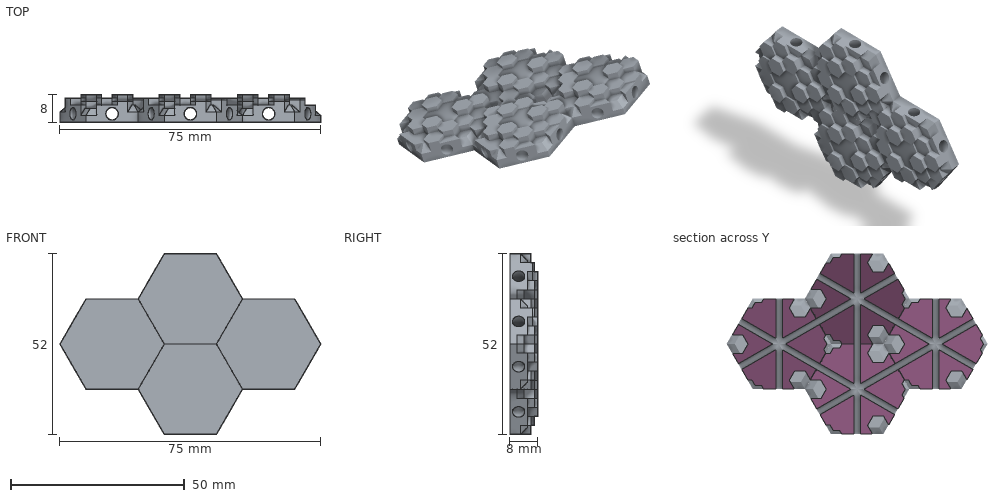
import cadquery as cq
import math


cell_side = 3.0
cells_per_edge = 5
tile_gap = 0.02
base_height = 5.0
hole_diameter = 3.5
bevel_rise = 2.0
deep_seat = 2.0
shallow_seat = 3.0

tile_side = cells_per_edge * cell_side
tile_half_height = tile_side * math.sin(math.pi / 3)
column_pitch = 1.5 * cell_side
half_row = cell_side * math.sin(math.pi / 3)
hole_height = base_height / 2

column_origin_x = cell_side
column_heights = {
    (0, 0): 6.5,
    (-1, 1): 6.5,
    (-1, -1): 6.5,
    (-2, 0): 8.0,
    (0, 2): 8.0,
    (0, -2): 8.0,
    (-1, 3): 7.0,
    (-1, -3): 7.0,
    (1, 1): 7.0,
    (1, -1): 7.0,
    (-2, 2): 6.0,
    (-2, -2): 6.0,
    (-3, 1): 7.0,
    (1, -3): 5.0,
    (1, 3): 6.5,
    (-3, -1): 5.5,
    (0, 4): 6.0,
    (0, -4): 6.0,
}


def polar_point(radius, degrees):
    """Point in the XZ plane at an angle from +X toward +Z."""
    angle = math.radians(degrees)
    return (radius * math.cos(angle), radius * math.sin(angle))


def hexagon_points(side, center=(0.0, 0.0)):
    """Corners of a hexagon with two corners on the X direction."""
    corners = [polar_point(side, 60 * i) for i in range(6)]
    return [(center[0] + x, center[1] + z) for x, z in corners]


def hexagon_prism(side, start, end, center=(0.0, 0.0)):
    """Hexagonal prism between two Y levels."""
    plane = cq.Workplane("XZ", origin=(0, start, 0))
    return plane.polyline(hexagon_points(side, center)).close().extrude(start - end)


def bevelled_tile(seat):
    """Frustum over the whole tile whose sides lean in at 45 degrees above the seat."""
    top_side = tile_side - bevel_rise / math.sin(math.pi / 3)
    bottom = cq.Workplane("XZ", origin=(0, seat, 0)).polyline(hexagon_points(tile_side)).close()
    top = bottom.workplane(offset=-bevel_rise).polyline(hexagon_points(top_side)).close()
    return top.loft(ruled=True)


def cut_corner_seat(tile, center, seat):
    """Lower one corner cell to its seat, keeping the 45 degree rise from the tile edges."""
    pocket = hexagon_prism(cell_side, seat, base_height, center)
    return tile.cut(pocket.cut(bevelled_tile(seat)))


def make_tile():
    tile = hexagon_prism(tile_side, 0, base_height)

    for degrees in (0, 120, 240):
        deep_center = polar_point(tile_side - cell_side, degrees)
        tile = cut_corner_seat(tile, deep_center, deep_seat)
        shallow_center = polar_point(tile_side, degrees + 60)
        tile = cut_corner_seat(tile, shallow_center, shallow_seat)

    for (step_x, step_z), height in column_heights.items():
        center = (column_origin_x + step_x * column_pitch, step_z * half_row)
        tile = tile.union(hexagon_prism(cell_side, 0, height, center))

    hole = (
        cq.Workplane("XY", origin=(0, hole_height, 0))
        .circle(hole_diameter / 2)
        .extrude(tile_half_height, both=True)
    )
    for degrees in (0, 60, 120):
        tile = tile.cut(hole.rotate((0, 0, 0), (0, 1, 0), degrees))
    return tile


side_offset = 1.5 * tile_side
stack_offset = tile_half_height + tile_gap / 2
tile_centers = [(-side_offset, 0), (side_offset, 0), (0, stack_offset), (0, -stack_offset)]

tile = make_tile()
tiles = [tile.translate((x, 0, z)).val() for x, z in tile_centers]

result = cq.Compound.makeCompound(tiles)